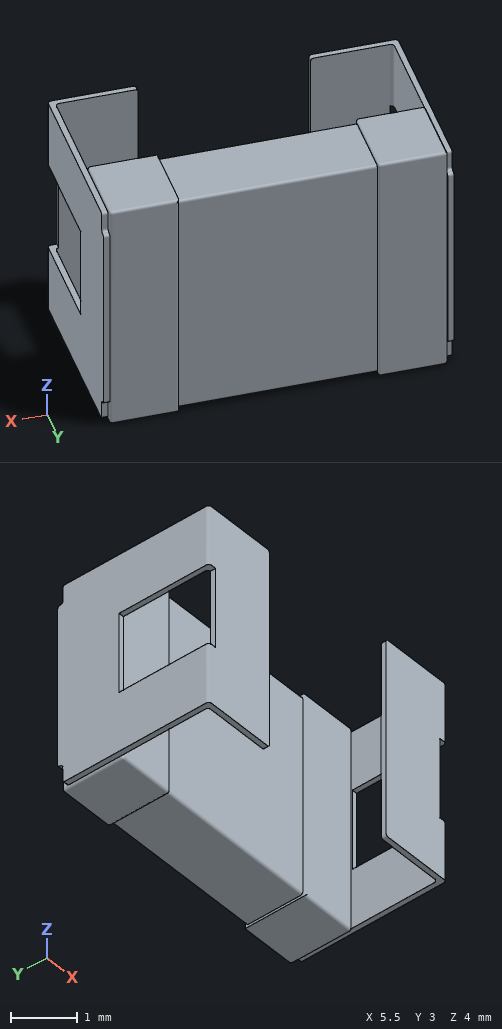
import cadquery as cq
import math


overall_length = 5.5
overall_depth = 3.0
cap_height = 4.005
cap_depth = 1.22
cap_length = 1.09
plating = 0.05
edge_radius = 0.05
bend_radius = 0.06
lead_thickness = 0.1
lead_height = 3.89
foot_length = 1.4
window_height = 1.56
window_reach = 0.15
tab_height = 3.18
notch_depth = 0.1

back_y = overall_depth / 2
front_y = -overall_depth / 2
chip_length = overall_length - 2 * lead_thickness
ceramic_height = cap_height - 2 * plating
ceramic_depth = cap_depth - 2 * plating
ceramic_length = chip_length - 2 * cap_length
cap_middle_x = (chip_length - cap_length) / 2
chip_middle_y = back_y - cap_depth / 2
window_depth = overall_depth - cap_depth


def make_block(length, depth, height, middle_x):
    """Plain block centred on the chip's axis at the given X."""
    return cq.Workplane("XY").box(length, depth, height).translate((middle_x, chip_middle_y, 0))


def make_end_cap():
    """Separate metal cap on the -X end, rounded on every edge."""
    return make_block(cap_length, cap_depth, cap_height, -cap_middle_x).edges().fillet(edge_radius)


def make_chip():
    """Ceramic block carrying the +X cap as one solid."""
    ceramic = make_block(ceramic_length, ceramic_depth, ceramic_height, 0).edges("|X").fillet(edge_radius)
    cap = make_block(cap_length, cap_depth, cap_height, cap_middle_x)
    cap = cap.edges("|X or |Z or (>X and |Y)").fillet(edge_radius)
    return ceramic.union(cap)


def make_notch(side, outer_x):
    """Cutter for one back corner of a lead wall; its edge runs through three tangent quarter rounds."""
    r = edge_radius
    s = r * math.sqrt(0.5)
    tab_z = tab_height / 2
    wall_z = lead_height / 2
    shoulder_y = back_y - notch_depth
    notch = (
        cq.Workplane("YZ", origin=(outer_x, 0, 0))
        .moveTo(back_y, tab_z - r)
        .threePointArc((back_y - r + s, tab_z - r + s), (back_y - r, tab_z))
        .threePointArc((shoulder_y + r - s, tab_z + r - s), (shoulder_y, tab_z + r))
        .lineTo(shoulder_y, wall_z - r)
        .threePointArc((shoulder_y - r + s, wall_z - r + s), (shoulder_y - r, wall_z))
        .lineTo(back_y, wall_z)
        .close()
        .extrude(lead_thickness)
    )
    return notch if side > 0 else notch.mirror("XY")


def make_lead(end):
    """J-lead on one end (-1 or +1 in X): wall, inward foot, window through the bend, narrowed back edge."""
    outer_x = -overall_length / 2
    inner_x = outer_x + lead_thickness
    foot_end_x = outer_x + foot_length
    foot_back_y = front_y + lead_thickness
    lead = (
        cq.Workplane("XY", origin=(0, 0, -lead_height / 2))
        .moveTo(outer_x, back_y)
        .lineTo(outer_x, front_y)
        .lineTo(foot_end_x, front_y)
        .lineTo(foot_end_x, foot_back_y)
        .lineTo(inner_x, foot_back_y)
        .lineTo(inner_x, back_y)
        .close()
        .extrude(lead_height)
    )
    outer_bend = cq.selectors.NearestToPointSelector((outer_x, front_y, 0))
    inner_bend = cq.selectors.NearestToPointSelector((inner_x, foot_back_y, 0))
    lead = lead.edges(outer_bend).fillet(bend_radius)
    lead = lead.edges(inner_bend).fillet(bend_radius)
    lead = lead.faces(">X").edges("|Y").fillet(edge_radius)

    window = cq.Workplane("XY").box(window_reach, window_depth, window_height, centered=(False, False, True))
    lead = lead.cut(window.translate((outer_x, front_y, 0)))

    for side in (1, -1):
        lead = lead.cut(make_notch(side, outer_x))
    return lead if end < 0 else lead.mirror("YZ")


chip = make_chip()
end_cap = make_end_cap()
leads = [make_lead(end) for end in (-1, 1)]

result = cq.Compound.makeCompound([chip.val(), end_cap.val(), *[lead.val() for lead in leads]])